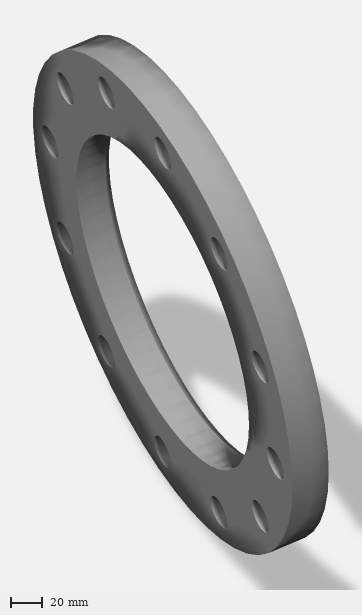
import cadquery as cq

outer_diameter = 340.0
bore_diameter = 226.0
thickness = 26.0
bore_chamfer = 5.0

bolt_circle_diameter = 295.0
bolt_hole_diameter = 22.0
bolt_hole_count = 12


def make_ring():
    """Ring centred on the origin, with flat faces normal to Y."""
    return (
        cq.Workplane("XZ")
        .circle(outer_diameter / 2)
        .circle(bore_diameter / 2)
        .extrude(thickness)
        .translate((0, thickness / 2, 0))
    )


def make_bolt_holes():
    """Cylinders that cut the bolt holes through the full thickness."""
    return (
        cq.Workplane("XZ")
        .polarArray(bolt_circle_diameter / 2, 0, 360, bolt_hole_count)
        .circle(bolt_hole_diameter / 2)
        .extrude(thickness)
        .translate((0, thickness / 2, 0))
    )


def make_bore_bevel():
    """Cone frustum that opens the bore towards the +Y face."""
    bore_radius = bore_diameter / 2
    back_face = thickness / 2
    return (
        cq.Workplane("XY")
        .moveTo(0, back_face - bore_chamfer)
        .lineTo(bore_radius, back_face - bore_chamfer)
        .lineTo(bore_radius + bore_chamfer, back_face)
        .lineTo(0, back_face)
        .close()
        .revolve(360, (0, 0, 0), (0, 1, 0))
    )


result = make_ring().cut(make_bolt_holes()).cut(make_bore_bevel())